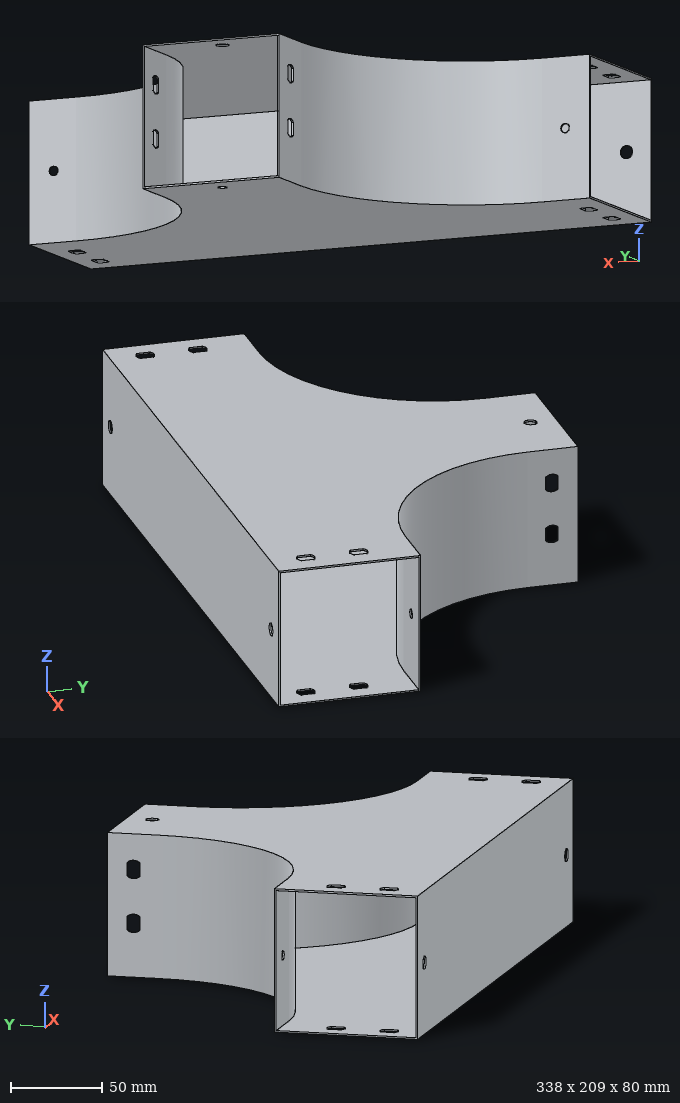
import cadquery as cq

length = 338.0
depth = 209.0
height = 80.0
sheet = 1.0
branch_width = 82.0
bend_radius = 99.5

end_offset = 15.0
large_hole = 7.0
small_hole = 5.0
slot_width = 7.0
slot_length = 10.0
slot_edge_offset = 20.0
slot_pitch = 30.0

half_length = length / 2
half_branch = branch_width / 2
lead_in = half_length - half_branch - bend_radius
run_depth = depth - lead_in - bend_radius
branch_hole_y = depth - end_offset
arm_hole_x = half_length - end_offset
bend_x = half_branch + bend_radius
bend_y = run_depth + bend_radius


def tee_body(inset, overrun):
    """Tee with its closed faces moved in by inset and its open ends out by overrun."""
    end_x = half_length + overrun
    end_y = depth + overrun
    side_x = half_branch - inset
    back_y = run_depth - inset
    arc_reach = (bend_radius + inset) * 0.5 ** 0.5
    return (
        cq.Workplane("XY", origin=(0, 0, inset))
        .moveTo(-end_x, inset)
        .lineTo(end_x, inset)
        .lineTo(end_x, back_y)
        .lineTo(bend_x, back_y)
        .threePointArc((bend_x - arc_reach, bend_y - arc_reach), (side_x, bend_y))
        .lineTo(side_x, end_y)
        .lineTo(-side_x, end_y)
        .lineTo(-side_x, bend_y)
        .threePointArc((arc_reach - bend_x, bend_y - arc_reach), (-bend_x, back_y))
        .lineTo(-end_x, back_y)
        .close()
        .extrude(height - 2 * inset)
    )


def flat_sided_slots(plane, points):
    """Cutters through the part: circles trimmed by two flats parallel to the plane's y axis."""
    cutting_reach = length
    rounds = (
        cq.Workplane(plane)
        .pushPoints(points)
        .circle(slot_length / 2)
        .extrude(cutting_reach, both=True)
    )
    flats = (
        cq.Workplane(plane)
        .pushPoints(points)
        .rect(slot_width, slot_length)
        .extrude(cutting_reach, both=True)
    )
    return rounds.intersect(flats)


def arm_slots():
    """Slots through the top and bottom sheets at both ends of the straight duct."""
    points = [
        (side * arm_hole_x, slot_edge_offset + row * slot_pitch)
        for side in (-1, 1)
        for row in (0, 1)
    ]
    return flat_sided_slots("XY", points)


def branch_slots():
    """Slots through both side sheets of the branch, set out from the top edge."""
    points = [(branch_hole_y, height - slot_edge_offset - row * slot_pitch) for row in (0, 1)]
    return flat_sided_slots("YZ", points)


def arm_holes(diameter, start_y, end_y):
    """Holes along Y at both arm ends, at mid height."""
    return (
        cq.Workplane("XZ", origin=(0, start_y, height / 2))
        .pushPoints([(-arm_hole_x, 0), (arm_hole_x, 0)])
        .circle(diameter / 2)
        .extrude(start_y - end_y)
    )


def branch_hole(diameter, start_z, end_z):
    """Hole along Z on the centre line of the branch."""
    return (
        cq.Workplane("XY", origin=(0, branch_hole_y, start_z))
        .circle(diameter / 2)
        .extrude(end_z - start_z)
    )


result = tee_body(0, 0).cut(tee_body(sheet, sheet))
result = result.cut(arm_slots()).cut(branch_slots())

mid_depth = run_depth / 2
mid_height = height / 2
result = result.cut(arm_holes(large_hole, 0, mid_depth))
result = result.cut(arm_holes(small_hole, mid_depth, run_depth))
result = result.cut(branch_hole(large_hole, mid_height, height))
result = result.cut(branch_hole(small_hole, 0, mid_height))